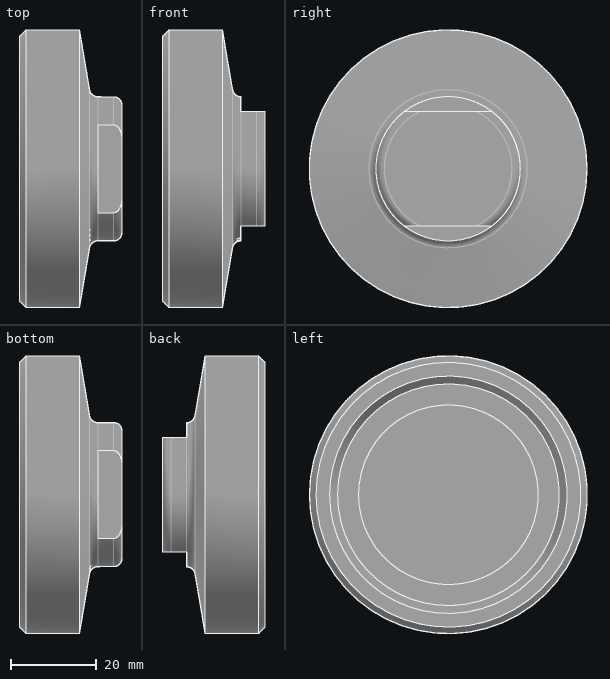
import cadquery as cq
import math

outer_diameter = 65.0
overall_length = 24.0
rim_length = 14.05
rim_chamfer = 1.55

mouth_diameter = 55.5
bore_diameter = 51.8
taper_depth = 6.95
recess_depth = 10.35

pad_diameter = 42.0
pad_height = 3.0

hub_diameter = 33.75
hub_edge_radius = 1.95
hub_start = 18.3
neck_radius = 1.95
flat_spacing = 26.8
flat_start = hub_start

outer_radius = outer_diameter / 2
hub_radius = hub_diameter / 2


def make_body():
    """Revolve the solid outer outline, from the open face to the hub end."""
    blend_center_radius = hub_radius + neck_radius
    axial_gap = hub_start - rim_length
    radial_gap = outer_radius - blend_center_radius
    cone_slope = math.atan2(axial_gap, radial_gap) - math.asin(
        neck_radius / math.hypot(axial_gap, radial_gap)
    )

    def blend_point(angle):
        return (
            hub_start - neck_radius * math.sin(angle),
            blend_center_radius - neck_radius * math.cos(angle),
        )

    blend_end_angle = math.pi / 2 - cone_slope
    return (
        cq.Workplane("XY")
        .moveTo(0, 0)
        .lineTo(0, outer_radius - rim_chamfer)
        .lineTo(rim_chamfer, outer_radius)
        .lineTo(rim_length, outer_radius)
        .lineTo(*blend_point(blend_end_angle))
        .threePointArc(blend_point(blend_end_angle / 2), (hub_start, hub_radius))
        .lineTo(overall_length, hub_radius)
        .lineTo(overall_length, 0)
        .close()
        .revolve(360, (0, 0, 0), (1, 0, 0))
        .faces(">X")
        .edges()
        .fillet(hub_edge_radius)
    )


def make_recess():
    """Revolve the recess volume, leaving the pad standing on its floor."""
    bore_radius = bore_diameter / 2
    recess = (
        cq.Workplane("XY")
        .moveTo(0, 0)
        .lineTo(0, mouth_diameter / 2)
        .lineTo(taper_depth, bore_radius)
        .lineTo(recess_depth, bore_radius)
        .lineTo(recess_depth, 0)
        .close()
        .revolve(360, (0, 0, 0), (1, 0, 0))
    )
    pad = (
        cq.Workplane("YZ", origin=(recess_depth - pad_height, 0, 0))
        .circle(pad_diameter / 2)
        .extrude(pad_height)
    )
    return recess.cut(pad)


def make_flat_cutter(side):
    """Block that trims one hub flat, on the +Z (side=1) or -Z (side=-1) side."""
    cutter_length = overall_length - flat_start
    cutter_center_z = side * (flat_spacing / 2 + outer_radius / 2)
    return (
        cq.Workplane("XY")
        .box(cutter_length, outer_diameter, outer_radius, centered=(False, True, True))
        .translate((flat_start, 0, cutter_center_z))
    )


result = make_body().cut(make_recess())
for side in (1, -1):
    result = result.cut(make_flat_cutter(side))